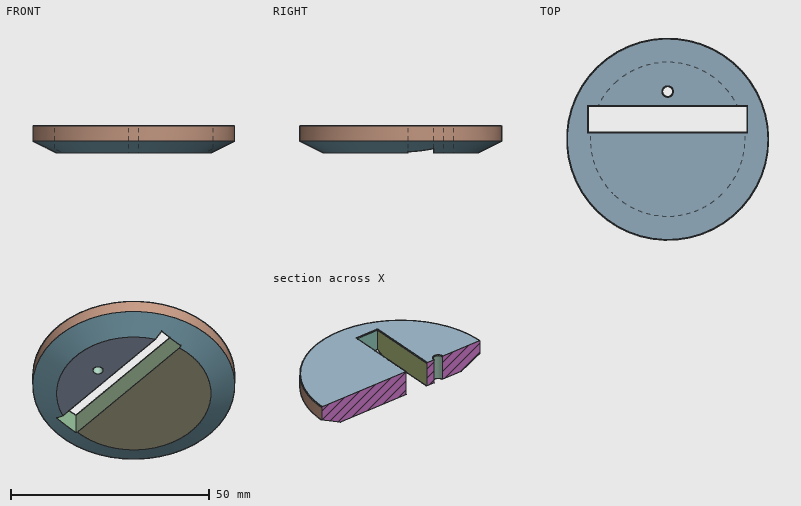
import cadquery as cq

disc_radius = 25.5
disc_height = 7.0
cone_height = 3.0
base_radius = 19.5
edge_break = 0.2

slot_length = 40.0
slot_width = 6.5
slot_center_y = 5.05

hole_diameter = 2.5
hole_center_y = 12.05


def make_disc():
    profile = [
        (0, 0),
        (base_radius, 0),
        (disc_radius, cone_height),
        (disc_radius, disc_height - edge_break),
        (disc_radius - edge_break, disc_height),
        (0, disc_height),
    ]
    return cq.Workplane("XZ").polyline(profile).close().revolve(360, (0, 0), (0, 1))


def make_slot():
    top = cq.Workplane("XY").workplane(offset=disc_height).center(0, slot_center_y)
    shaft = top.rect(slot_length, slot_width).extrude(-disc_height)
    flare = (
        top.rect(slot_length + 2 * edge_break, slot_width + 2 * edge_break)
        .workplane(offset=-edge_break)
        .rect(slot_length, slot_width)
        .loft()
    )
    return shaft.union(flare)


def make_hole():
    top = cq.Workplane("XY").workplane(offset=disc_height).center(0, hole_center_y)
    shaft = top.circle(hole_diameter / 2).extrude(-disc_height)
    flare = (
        top.circle(hole_diameter / 2 + edge_break)
        .workplane(offset=-edge_break)
        .circle(hole_diameter / 2)
        .loft()
    )
    return shaft.union(flare)


result = make_disc().cut(make_slot()).cut(make_hole())